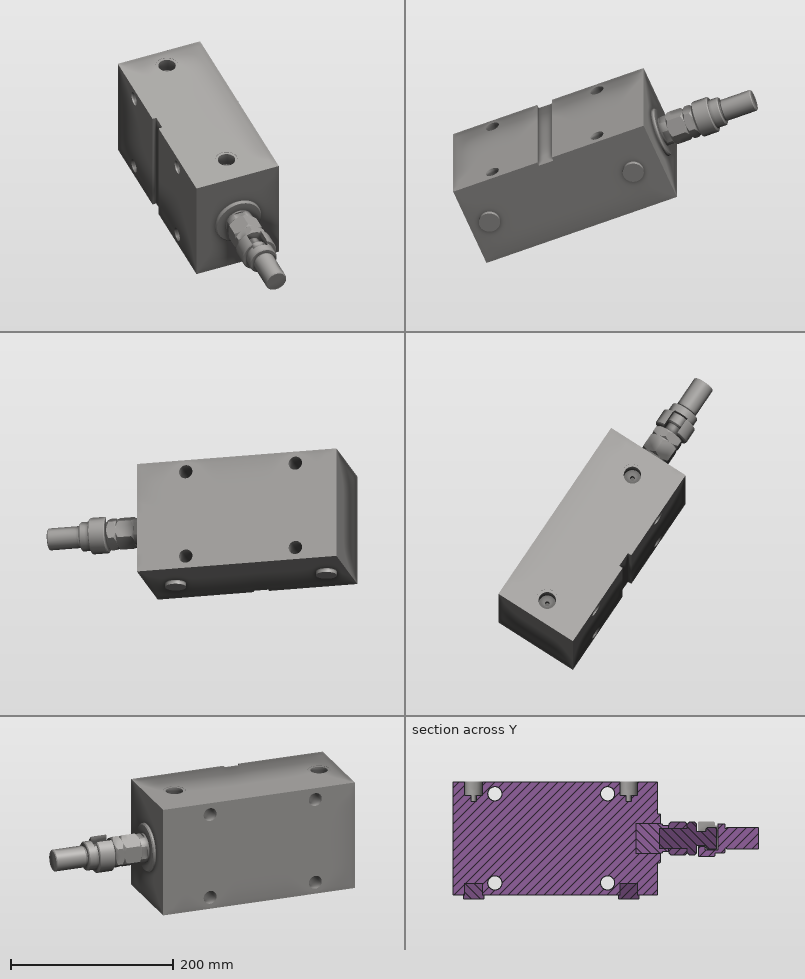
import cadquery as cq
import math


block_length = 253.0
block_width = 110.0
block_height = 140.0
key_slot_start = 111.7
key_slot_width = 19.3
key_slot_depth = 5.0
mount_hole_diameter = 17.0
mount_hole_xs = (52.0, 191.0)
mount_hole_edge_distance = 15.0

collar_radius = 30.5
collar_height = 3.8
collar_chamfer = 1.5

port_xs = (26.0, 217.0)
port_bore_diameter = 21.5
port_bore_depth = 17.0
spotface_diameter = 28.5
spotface_depth = 0.5
feed_hole_diameter = 6.0
feed_hole_depth = 7.5
plug_head_diameter = 26.0
plug_head_height = 5.0
plug_shank_length = 14.0

rod_radius = 18.0
rod_flats_across = 32.5
rod_flats_start = 259.0
rod_end = 266.5
rod_engagement = 26.5

hex_across_flats = 36.0
hex_chamfer_angle = 45
nut_end = 289.0
stud_hex_end = 301.0
stud_shank_radius = 12.0
stud_socket_depth = 11.5
stud_neck_radius = 9.0
stud_head_radius = 13.5
stud_head_start = 312.2
stud_head_end = 325.5
stud_head_chamfer = 2.0

coupling_start = 302.8
coupling_rim_end = 323.5
coupling_rim_radius = 22.5
coupling_body_end = 336.0
coupling_body_radius = 18.0
coupling_chamfer = 1.0
undercut_end = 337.0
undercut_radius = 12.5
shaft_end = 377.5
shaft_radius = 13.5
shaft_chamfer = 1.0
slot_width = 19.3
slot_end = 326.5
head_pocket_start = 311.5
head_pocket_radius = 14.5


def rod_cylinder(start, end, radius):
    """Cylinder on the X axis from X = start to X = end."""
    return cq.Workplane("YZ", origin=(start, 0, 0)).circle(radius).extrude(end - start)


def chamfered_hexagon(start, end):
    """Hexagonal bar on the X axis with corners on +Z and -Z and both ends turned to a cone."""
    corner_radius = hex_across_flats / 2 / math.cos(math.pi / 6)
    cone_radius = hex_across_flats / 2
    cone_length = (corner_radius - cone_radius) * math.tan(math.radians(hex_chamfer_angle))
    bar = (
        cq.Workplane("YZ", origin=(start, 0, 0))
        .transformed(rotate=(0, 0, 90))
        .polygon(6, 2 * corner_radius)
        .extrude(end - start)
    )
    turned_blank = (
        cq.Workplane("XY")
        .moveTo(start, 0)
        .lineTo(start, cone_radius)
        .lineTo(start + cone_length, corner_radius)
        .lineTo(end - cone_length, corner_radius)
        .lineTo(end, cone_radius)
        .lineTo(end, 0)
        .close()
        .revolve(360, (0, 0, 0), (1, 0, 0))
    )
    return bar.intersect(turned_blank)


def vertical_cylinder(x, bottom, height, diameter):
    """Cylinder along Z, on the middle plane of the block."""
    return cq.Workplane("XY", origin=(x, 0, bottom)).circle(diameter / 2).extrude(height)


def make_block():
    block = cq.Workplane("XY").box(block_length, block_width, block_height, centered=(False, True, True))
    key_slot = cq.Workplane("XY", origin=(key_slot_start, -block_width / 2, 0)).box(
        key_slot_width, key_slot_depth, block_height, centered=(False, False, True)
    )
    return block.cut(key_slot)


def cut_mount_holes(block):
    hole_z = block_height / 2 - mount_hole_edge_distance
    hole_centres = [(x, z) for x in mount_hole_xs for z in (-hole_z, hole_z)]
    holes = (
        cq.Workplane("XZ", origin=(0, block_width / 2, 0))
        .pushPoints(hole_centres)
        .circle(mount_hole_diameter / 2)
        .extrude(block_width)
    )
    return block.cut(holes)


def cut_ports(block):
    top = block_height / 2
    bore_floor = top - port_bore_depth
    for x in port_xs:
        spotface = vertical_cylinder(x, top - spotface_depth, spotface_depth, spotface_diameter)
        bore = vertical_cylinder(x, bore_floor, port_bore_depth, port_bore_diameter)
        feed_hole = vertical_cylinder(x, bore_floor - feed_hole_depth, feed_hole_depth, feed_hole_diameter)
        plugged_bore = vertical_cylinder(x, -top, plug_shank_length, port_bore_diameter)
        block = block.cut(spotface).cut(bore).cut(feed_hole).cut(plugged_bore)
    return block


def make_housing():
    collar = rod_cylinder(block_length, block_length + collar_height, collar_radius)
    collar = collar.faces(">X").chamfer(collar_chamfer)
    housing = cut_ports(cut_mount_holes(make_block())).union(collar)
    rod_bore = rod_cylinder(block_length - rod_engagement, block_length + collar_height, rod_radius)
    return housing.cut(rod_bore)


def make_plug(x):
    """Screw plug: a round head under the block and a shank that fills the port bore."""
    bottom = -block_height / 2
    head = vertical_cylinder(x, bottom - plug_head_height, plug_head_height, plug_head_diameter)
    shank = vertical_cylinder(x, bottom, plug_shank_length, port_bore_diameter)
    return head.union(shank)


def make_rod():
    """Piston rod with four wrench flats and a socket for the stud shank."""
    flats_length = rod_end - rod_flats_start
    round_part = rod_cylinder(block_length - rod_engagement, rod_flats_start, rod_radius)
    square_bar = cq.Workplane("XY", origin=(rod_flats_start, 0, 0)).box(
        flats_length, rod_flats_across, rod_flats_across, centered=(False, True, True)
    )
    flats_part = rod_cylinder(rod_flats_start, rod_end, rod_radius).intersect(square_bar)
    socket = rod_cylinder(rod_end - stud_socket_depth, rod_end, stud_shank_radius)
    return round_part.union(flats_part).cut(socket)


def make_nut():
    thread_hole = rod_cylinder(rod_end, nut_end, stud_shank_radius)
    return chamfered_hexagon(rod_end, nut_end).cut(thread_hole)


def make_stud():
    """Stud with a shank through the nut, a wrench hexagon, a neck and a round head."""
    shank = rod_cylinder(rod_end - stud_socket_depth, nut_end, stud_shank_radius)
    neck = rod_cylinder(stud_hex_end, stud_head_start, stud_neck_radius)
    head = rod_cylinder(stud_head_start, stud_head_end, stud_head_radius)
    head = head.faces("<X").chamfer(stud_head_chamfer)
    return chamfered_hexagon(nut_end, stud_hex_end).union(shank).union(neck).union(head)


def make_coupling():
    rim = rod_cylinder(coupling_start, coupling_rim_end, coupling_rim_radius)
    rim = rim.faces("<X or >X").chamfer(coupling_chamfer)
    body = rod_cylinder(coupling_rim_end, coupling_body_end, coupling_body_radius)
    body = body.faces(">X").chamfer(coupling_chamfer)
    undercut = rod_cylinder(coupling_body_end, undercut_end, undercut_radius)
    shaft = rod_cylinder(undercut_end, shaft_end, shaft_radius)
    shaft = shaft.faces("<X or >X").chamfer(shaft_chamfer)
    turned = rim.union(body).union(undercut).union(shaft)

    slot_length = slot_end - coupling_start
    slot = cq.Workplane("XY", origin=(coupling_start, 0, 0)).box(
        slot_length, slot_width, coupling_rim_radius, centered=(False, True, False)
    )
    slot_floor = rod_cylinder(coupling_start, slot_end, slot_width / 2)
    head_pocket = rod_cylinder(head_pocket_start, slot_end, head_pocket_radius)
    return turned.cut(slot).cut(slot_floor).cut(head_pocket)


housing = make_housing()
plugs = [make_plug(x) for x in port_xs]
rod = make_rod()
nut = make_nut()
stud = make_stud()
coupling = make_coupling()

result = cq.Compound.makeCompound(
    [
        housing.val(),
        *[plug.val() for plug in plugs],
        rod.val(),
        nut.val(),
        stud.val(),
        coupling.val(),
    ]
)